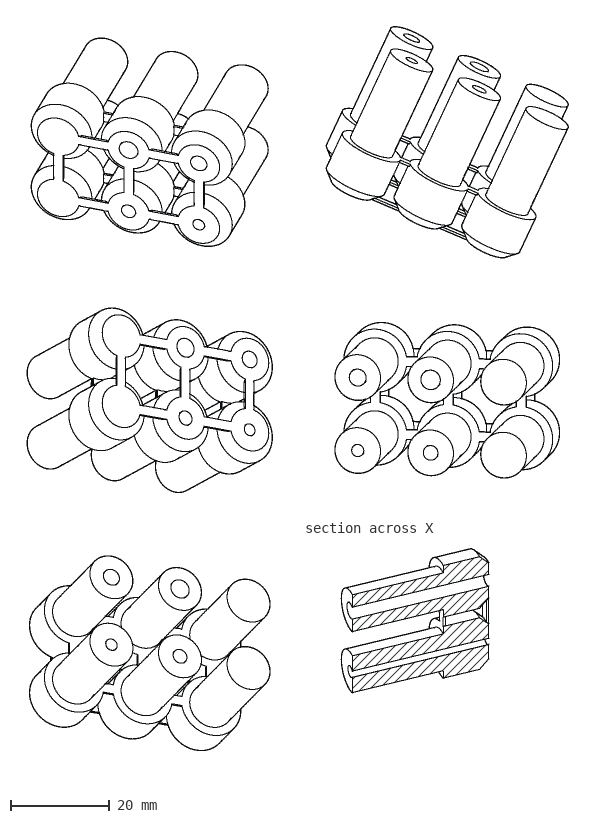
import cadquery as cq

overall_width = 43.0
overall_depth = 30.0
columns = 3
head_diameter = 13.0
pitch = (overall_width - head_diameter) / (columns - 1)

head_length = 10.0
head_chamfer = 2.0
shank_diameter = 9.4
shank_length = overall_depth - head_length

web_width = 2.0
web_thickness = 0.5

bore_diameters = [
    [0, 3.0, 2.5],
    [0, 4.0, 3.5],
]
rows = len(bore_diameters)


def cylinder(x, z, diameter, start_y, length):
    """Cylinder along +Y, centred on (x, z)."""
    base = cq.Workplane("XZ", origin=(x, start_y, z))
    return base.circle(diameter / 2).extrude(-length)


def pin(x, z):
    """Shank with a larger head, chamfered on its front edge."""
    head = cylinder(x, z, head_diameter, 0, head_length).faces("<Y").chamfer(head_chamfer)
    return head.union(cylinder(x, z, shank_diameter, head_length, shank_length))


def web(start, end, front_y):
    """Flat strip between two pin axes along X or Z."""
    (x0, z0), (x1, z1) = start, end
    strip = cq.Workplane("XY").box(
        max(x1 - x0, web_width),
        web_thickness,
        max(z1 - z0, web_width),
        centered=(True, False, True),
    )
    return strip.translate(((x0 + x1) / 2, front_y, (z0 + z1) / 2))


def position(column, row):
    """Pin axis, with the grid centred on the origin."""
    x = (column - (columns - 1) / 2) * pitch
    z = (row - (rows - 1) / 2) * pitch
    return x, z


cells = [(column, row) for row in range(rows) for column in range(columns)]
result = pin(*position(*cells[0]))
for cell in cells[1:]:
    result = result.union(pin(*position(*cell)))

rear_web_y = head_length - web_thickness
for column, row in cells:
    for neighbour in [(column + 1, row), (column, row + 1)]:
        if neighbour in cells:
            ends = position(column, row), position(*neighbour)
            result = result.union(web(*ends, 0))
            result = result.union(web(*ends, rear_web_y))

for column, row in cells:
    diameter = bore_diameters[row][column]
    if diameter > 0:
        result = result.cut(cylinder(*position(column, row), diameter, 0, overall_depth))